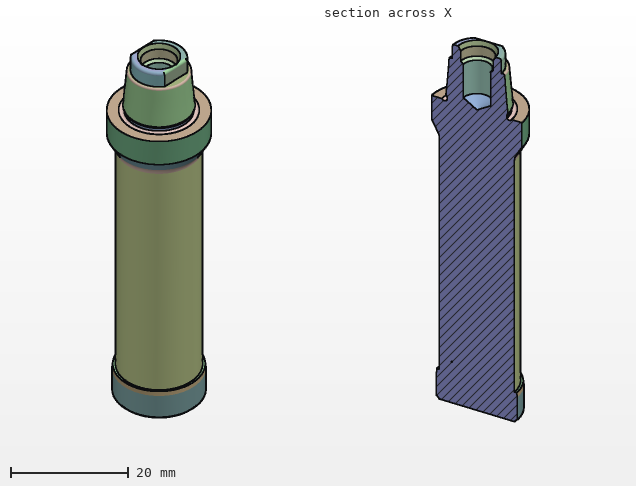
import cadquery as cq
import math

height = 71.45
foot_chamfer = 0.65
foot_shoulder = 5.15
foot_top = 6.0
body_top = 52.0
flare_start = 53.1
collar_bottom = 55.1
collar_top = 60.0
neck_top = 60.6
rim_bottom = 61.0
taper_top = 68.6

foot_radius = 8.0
foot_top_radius = 7.85
body_radius = 7.4
flare_start_radius = 7.8
blend_mid_radius = 7.5
collar_radius = 8.895
neck_radius = 5.9
taper_bottom_radius = 6.15
taper_top_radius = 5.5
tip_radius = 4.85

tip_round = 0.5
shoulder_round = 0.35
flat_distance = 4.0
groove_radius = 6.85
groove_depth = 0.3

mouth_radius = 3.65
mouth_angle = 60.0
bore_radius = 3.15
bore_depth = 2.85
pilot_radius = 2.65
pilot_depth = 10.0
drill_point_angle = 118.0


def make_shank():
    """Revolve the stepped shank from the foot to the top of the taper."""
    groove_mid_radius = (groove_radius + neck_radius) / 2
    blend_mid_height = (body_top + flare_start) / 2
    profile = (
        cq.Workplane("XZ")
        .lineTo(foot_radius - foot_chamfer, 0)
        .lineTo(foot_radius, foot_chamfer)
        .lineTo(foot_radius, foot_shoulder)
        .lineTo(foot_top_radius, foot_top)
        .lineTo(body_radius, foot_top)
        .lineTo(body_radius, body_top)
        .threePointArc((blend_mid_radius, blend_mid_height), (flare_start_radius, flare_start))
        .lineTo(collar_radius, collar_bottom)
        .lineTo(collar_radius, collar_top)
        .lineTo(groove_radius, collar_top)
        .threePointArc((groove_mid_radius, collar_top - groove_depth), (neck_radius, collar_top))
        .lineTo(neck_radius, neck_top)
        .lineTo(taper_bottom_radius, rim_bottom)
        .lineTo(taper_top_radius, taper_top)
        .lineTo(0, taper_top)
        .close()
    )
    shank = profile.revolve(360, (0, 0, 0), (0, 1, 0))
    return shank.faces(">Z").edges().fillet(shoulder_round)


def make_tip():
    """Round drive tip with two flats facing -X and +X and a rounded top edge."""
    tip_height = height - taper_top
    tip = cq.Workplane("XY", origin=(0, 0, taper_top)).circle(tip_radius).extrude(tip_height)
    flats = cq.Workplane("XY", origin=(0, 0, taper_top)).rect(2 * flat_distance, 2 * tip_radius)
    tip = tip.intersect(flats.extrude(tip_height))
    return tip.faces(">Z").edges().fillet(tip_round)


def make_bore():
    """Stepped blind bore with a countersunk mouth, a 45 degree step and a conical bottom."""
    mouth_depth = (mouth_radius - bore_radius) / math.tan(math.radians(mouth_angle / 2))
    step_chamfer = bore_radius - pilot_radius
    step_height = height - bore_depth
    pilot_bottom = height - pilot_depth
    cone_depth = pilot_radius / math.tan(math.radians(drill_point_angle / 2))
    profile = (
        cq.Workplane("XZ")
        .moveTo(0, height)
        .lineTo(mouth_radius, height)
        .lineTo(bore_radius, height - mouth_depth)
        .lineTo(bore_radius, step_height)
        .lineTo(pilot_radius, step_height - step_chamfer)
        .lineTo(pilot_radius, pilot_bottom)
        .lineTo(0, pilot_bottom - cone_depth)
        .close()
    )
    return profile.revolve(360, (0, 0, 0), (0, 1, 0))


result = make_shank().union(make_tip()).cut(make_bore())